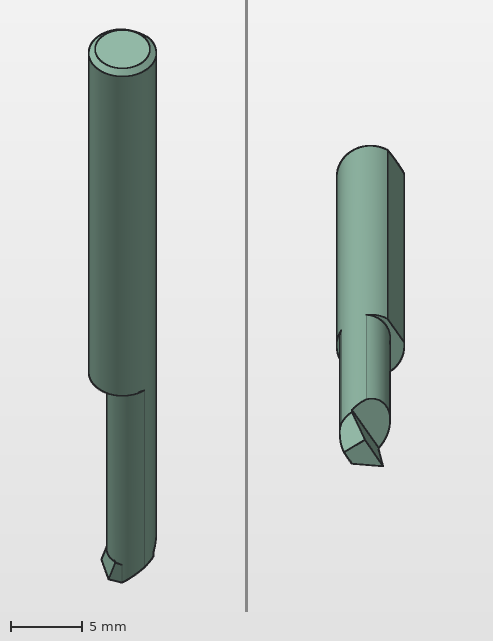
import cadquery as cq

total_length = 50.8
shank_radius = 2.4
flat_offset = 2.15
shoulder_z = 19.05
bevel_inset = 0.45
bevel_height = 0.35

neck_radius = 1.8
neck_center_x = 0.7
neck_end_z = 0.2

rake_face_y = 0
rake_slope_z = 2.3
heel_relief = 1.7

head_top_z = 2.0
head_top_x = -1.05
tip_x = -1.6
heel_edge_z = 0.15
clearance_shift_x = 1.3
clearance_rise = 0.15

overrun = 2.55


def make_shank():
    length = total_length - shoulder_z
    profile = [
        (0, 0),
        (shank_radius, 0),
        (shank_radius, length - bevel_height),
        (shank_radius - bevel_inset, length),
        (0, length),
    ]
    bar = cq.Workplane("XZ").polyline(profile).close().revolve(360, (0, 0), (0, 1))
    half_space = cq.Workplane("XY").box(
        2 * shank_radius, flat_offset + shank_radius, length, centered=(True, False, False)
    ).translate((0, -shank_radius, 0))
    return bar.intersect(half_space).translate((0, 0, shoulder_z))


def make_neck():
    length = shoulder_z - neck_end_z
    neck = cq.Workplane("XY").center(neck_center_x, 0).circle(neck_radius).extrude(length)
    envelope = cq.Workplane("XY").circle(shank_radius).extrude(length)
    neck = neck.intersect(envelope).translate((0, 0, neck_end_z))

    reach = neck_radius + overrun
    rake_cut = (
        cq.Workplane("YZ")
        .polyline([
            (rake_face_y, -overrun),
            (rake_face_y, rake_slope_z),
            (rake_face_y + reach, rake_slope_z + reach),
            (rake_face_y + reach, -overrun),
        ])
        .close()
        .extrude(2 * shank_radius, both=True)
    )

    heel_cut = (
        cq.Workplane("XZ")
        .polyline([
            (shank_radius - heel_relief - overrun, neck_end_z - overrun),
            (shank_radius + overrun, neck_end_z + heel_relief + overrun),
            (shank_radius + overrun, neck_end_z - overrun),
        ])
        .close()
        .extrude(2 * shank_radius, both=True)
    )

    head_space = cq.Workplane("XY").box(
        2 * shank_radius, 4 * neck_radius, head_top_z, centered=(False, True, False)
    ).translate((neck_center_x - 2 * shank_radius, 0, 0))
    return neck.cut(rake_cut).cut(heel_cut).cut(head_space)


def make_head():
    profile = [
        (head_top_x, head_top_z),
        (tip_x, 0),
        (neck_center_x, heel_edge_z),
        (neck_center_x, head_top_z),
    ]
    front = [(x, rake_face_y, z) for x, z in profile]
    back = [(x + clearance_shift_x, -neck_radius, z + clearance_rise) for x, z in profile]
    wires = [
        cq.Wire.makePolygon([cq.Vector(*point) for point in points], close=True)
        for points in (front, back)
    ]
    skewed = cq.Workplane(cq.Solid.makeLoft(wires, True))

    body = cq.Workplane("XY").box(
        neck_center_x - tip_x, neck_radius, head_top_z, centered=False
    ).translate((tip_x, -neck_radius, 0))
    return skewed.intersect(body)


result = make_shank().union(make_neck()).union(make_head())